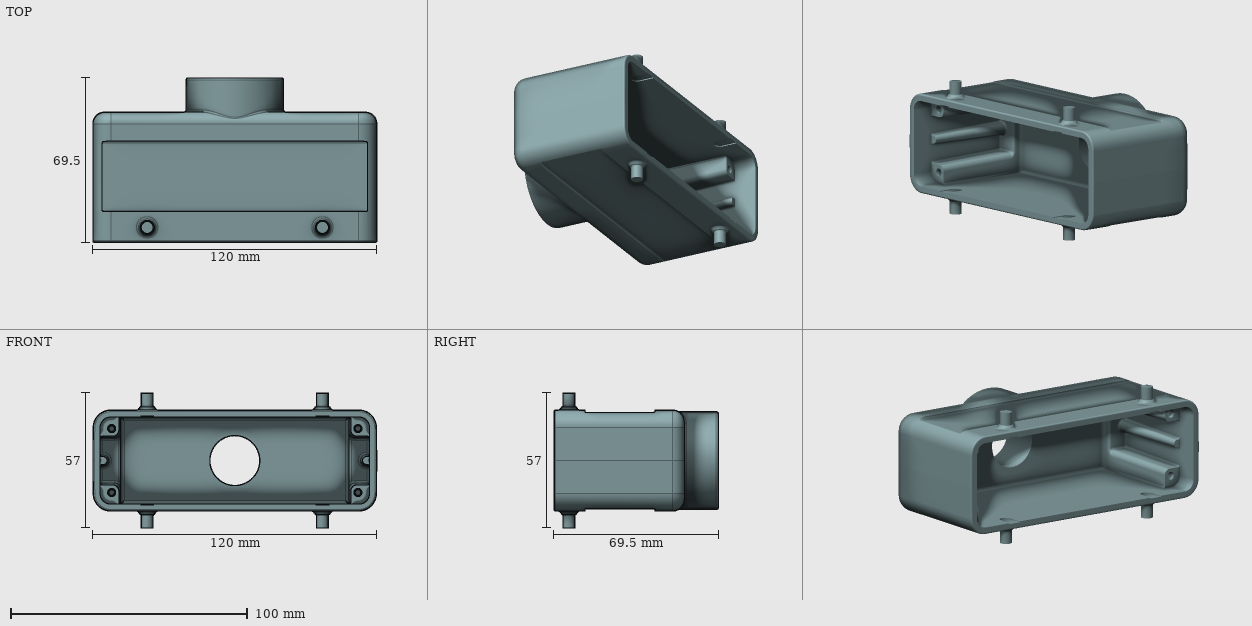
import cadquery as cq
import math

LENGTH = 120.0
END_CROWN = 0.25
HEIGHT = 42.7
DEPTH = 55.0
CORNER_RADIUS = 7.5
BACK_RADIUS = 5.0
RIM_RADIUS = 0.7

TOTAL_DEPTH = 69.5
NECK_DIAMETER = 41.3
NECK_LIP_RADIUS = 1.0
NECK_ROOT_RADIUS = 1.0
BORE_DIAMETER = 21.0

BACK_WALL = 3.0
CAVITY_LENGTH = 113.8
CAVITY_HEIGHT = 36.8
CAVITY_CORNER_RADIUS = 4.5
FLOOR_Y = DEPTH - BACK_WALL
FLOOR_RADIUS = 1.5
LEDGE_Y = 48.0
LEDGE_RADIUS = 1.0
ROOT_RADIUS = 0.9

POST_FRONT_Y = 9.7
POST_EDGE_X = 49.0
POST_EDGE_Z = 10.3
POST_CORNER_RADIUS = 2.5
DRAFT_ANGLE = 1.2
DRAFT_SLOPE = math.tan(math.radians(DRAFT_ANGLE))
STEP_X = POST_EDGE_X - (LEDGE_Y - POST_FRONT_Y) * DRAFT_SLOPE
SCREW_X = 52.0
SCREW_Z = 13.5
SCREW_MOUTH_DIAMETER = 3.4
SCREW_END_DIAMETER = 2.4
SCREW_DEPTH = 15.0
RIB_HALF_WIDTH = 1.7
RIB_TIP_X = 53.9

PIN_X = 37.0
PIN_Y = 6.3
PIN_SPAN = 57.0
PIN_DIAMETER = 5.1
COLLAR_FOOT_RADIUS = 4.5
COLLAR_FOOT_HEIGHT = 0.4
COLLAR_FOOT_RUN = 0.32
COLLAR_FOOT_RISE = 0.14
COLLAR_BASE_RADIUS = 3.7
COLLAR_TOP_RADIUS = 3.0
COLLAR_HEIGHT = 1.35
PIN_SLOT_WIDTH = 5.4
PIN_SLOT_DEPTH = 0.4

RECESS_FRONT_Y = 13.1
RECESS_BACK_Y = 42.7
RECESS_DEPTH = 0.95
RECESS_FRONT_RADIUS = 0.3
RECESS_BACK_RADIUS = 0.7

OVERLAP = 1.0
SIGNS = (1, -1)


def zx_plane(y):
    """Work plane at depth y with local x = X, local y = -Z and normal +Y."""
    return cq.Workplane(cq.Plane(origin=(0, y, 0), xDir=(1, 0, 0), normal=(0, 1, 0)))


def make_body():
    half_height = HEIGHT / 2
    peak_x = LENGTH / 2
    edge_x = peak_x - END_CROWN
    outline = [
        (peak_x, 0),
        (edge_x, half_height),
        (-edge_x, half_height),
        (-peak_x, 0),
        (-edge_x, -half_height),
        (edge_x, -half_height),
    ]
    body = zx_plane(0).polyline(outline).close().extrude(DEPTH)
    peaks = cq.selectors.BoxSelector((-peak_x, 0, -OVERLAP), (peak_x, DEPTH, OVERLAP))
    body = body.edges(cq.selectors.ParallelDirSelector(cq.Vector(0, 1, 0)) - peaks).fillet(CORNER_RADIUS)
    body = body.faces(">Y").edges().fillet(BACK_RADIUS)
    return body.faces("<Y").edges().fillet(RIM_RADIUS)


def add_neck(body):
    start_y = DEPTH - 2 * BACK_RADIUS
    neck = zx_plane(start_y).circle(NECK_DIAMETER / 2).extrude(TOTAL_DEPTH - start_y)
    joined = body.union(neck)
    reach = NECK_DIAMETER / 2 + OVERLAP
    root = cq.selectors.BoxSelector(
        (-reach, DEPTH - BACK_RADIUS, -reach), (reach, DEPTH + OVERLAP, reach), boundingbox=True
    )
    back = cq.selectors.BoxSelector(
        (-LENGTH, 0, -HEIGHT), (LENGTH, DEPTH - OVERLAP, HEIGHT), boundingbox=True
    )
    joined = joined.edges(root - back).fillet(NECK_ROOT_RADIUS)
    return joined.faces(">Y").edges().fillet(NECK_LIP_RADIUS)


def cut_label_recesses(part):
    outer_z = HEIGHT / 2
    floor_z = outer_z - RECESS_DEPTH
    cutter = (
        cq.Workplane("YZ")
        .moveTo(RECESS_FRONT_Y, outer_z + OVERLAP)
        .lineTo(RECESS_FRONT_Y, floor_z + RECESS_FRONT_RADIUS)
        .radiusArc((RECESS_FRONT_Y + RECESS_FRONT_RADIUS, floor_z), -RECESS_FRONT_RADIUS)
        .lineTo(RECESS_BACK_Y - RECESS_BACK_RADIUS, floor_z)
        .radiusArc((RECESS_BACK_Y, floor_z + RECESS_BACK_RADIUS), -RECESS_BACK_RADIUS)
        .lineTo(RECESS_BACK_Y, outer_z + OVERLAP)
        .close()
        .extrude(LENGTH / 2, both=True)
    )
    return part.cut(cutter).cut(cutter.mirror("XY"))


def make_post(side_x, side_z):
    """Corner post that tapers towards the mouth and runs into the cavity walls."""
    rise = LEDGE_Y - POST_FRONT_Y + OVERLAP
    spread = rise * DRAFT_SLOPE
    width = LENGTH / 2 - POST_EDGE_X + 2 * spread
    height = HEIGHT / 2 - POST_EDGE_Z + 2 * spread
    return (
        cq.Workplane(cq.Plane(origin=(0, LEDGE_Y + OVERLAP, 0), xDir=(1, 0, 0), normal=(0, -1, 0)))
        .center(side_x * (POST_EDGE_X - spread + width / 2), side_z * (POST_EDGE_Z - spread + height / 2))
        .rect(width, height)
        .extrude(rise, taper=DRAFT_ANGLE)
        .edges(cq.selectors.NearestToPointSelector((side_x * POST_EDGE_X, LEDGE_Y / 2, side_z * POST_EDGE_Z)))
        .fillet(POST_CORNER_RADIUS)
    )


def make_rib(side_x):
    """Round-nosed guide rib on an end wall, tapering towards the mouth."""
    rise = LEDGE_Y - POST_FRONT_Y + OVERLAP
    spread = rise * DRAFT_SLOPE
    radius = RIB_HALF_WIDTH + spread
    nose_x = RIB_TIP_X + RIB_HALF_WIDTH
    wall_x = LENGTH / 2 + spread
    return (
        cq.Workplane(cq.Plane(origin=(0, LEDGE_Y + OVERLAP, 0), xDir=(1, 0, 0), normal=(0, -1, 0)))
        .moveTo(side_x * wall_x, -radius)
        .lineTo(side_x * nose_x, -radius)
        .threePointArc((side_x * (nose_x - radius), 0), (side_x * nose_x, radius))
        .lineTo(side_x * wall_x, radius)
        .close()
        .extrude(rise, taper=DRAFT_ANGLE)
    )


def round_roots(pockets):
    """Round the long edges where the posts and ribs meet the cavity walls."""
    half_length = CAVITY_LENGTH / 2
    half_height = CAVITY_HEIGHT / 2
    roots = []
    for side_x in SIGNS:
        for side_z in SIGNS:
            roots += [
                (side_x * half_length, side_z * RIB_HALF_WIDTH),
                (side_x * half_length, side_z * POST_EDGE_Z),
                (side_x * POST_EDGE_X, side_z * half_height),
            ]
    for x, z in roots:
        root_edge = cq.selectors.NearestToPointSelector((x, (POST_FRONT_Y + LEDGE_Y) / 2, z))
        pockets = pockets.edges(root_edge).fillet(ROOT_RADIUS)
    return pockets


def make_cavity():
    """The hollow of the hood as a solid, for cutting from the body."""
    pockets = (
        zx_plane(-OVERLAP)
        .rect(CAVITY_LENGTH, CAVITY_HEIGHT)
        .extrude(LEDGE_Y + OVERLAP)
        .edges("|Y")
        .fillet(CAVITY_CORNER_RADIUS)
    )
    for side_x in SIGNS:
        pockets = pockets.cut(make_rib(side_x))
        for side_z in SIGNS:
            pockets = pockets.cut(make_post(side_x, side_z))
    pockets = round_roots(pockets)
    pockets = pockets.faces(">Y").edges().fillet(LEDGE_RADIUS)
    middle = (
        zx_plane(-OVERLAP)
        .rect(2 * STEP_X, CAVITY_HEIGHT)
        .extrude(FLOOR_Y + OVERLAP)
        .faces(">Y")
        .edges()
        .fillet(FLOOR_RADIUS)
    )
    cavity = pockets.union(middle)
    for side_x in SIGNS:
        step_edge = cq.selectors.NearestToPointSelector((side_x * STEP_X, LEDGE_Y, 0))
        cavity = cavity.edges(step_edge).fillet(LEDGE_RADIUS)
    return cavity


def cut_screw_holes(part):
    taper = math.degrees(math.atan2(SCREW_MOUTH_DIAMETER - SCREW_END_DIAMETER, 2 * SCREW_DEPTH))
    hole = zx_plane(POST_FRONT_Y).circle(SCREW_MOUTH_DIAMETER / 2).extrude(SCREW_DEPTH, taper=taper)
    for side_x in SIGNS:
        for side_z in SIGNS:
            part = part.cut(hole.translate((side_x * SCREW_X, 0, side_z * SCREW_Z)))
    return part


def make_pin():
    """Pin with its collar, standing on the +Z side."""
    root_z = HEIGHT / 2 - OVERLAP
    seat_z = HEIGHT / 2
    pin_r = PIN_DIAMETER / 2
    neck_r = COLLAR_TOP_RADIUS - pin_r
    profile = (
        cq.Workplane("XZ")
        .moveTo(0, root_z)
        .lineTo(COLLAR_FOOT_RADIUS, root_z)
        .lineTo(COLLAR_FOOT_RADIUS, seat_z)
        .threePointArc(
            (COLLAR_BASE_RADIUS + COLLAR_FOOT_RUN, seat_z + COLLAR_FOOT_RISE),
            (COLLAR_BASE_RADIUS, seat_z + COLLAR_FOOT_HEIGHT),
        )
        .lineTo(COLLAR_TOP_RADIUS, seat_z + COLLAR_HEIGHT)
        .radiusArc((pin_r, seat_z + COLLAR_HEIGHT + neck_r), neck_r)
        .lineTo(pin_r, PIN_SPAN / 2)
        .lineTo(0, PIN_SPAN / 2)
        .close()
    )
    return profile.revolve(360, (0, 0, 0), (0, 1, 0))


def make_pin_slot():
    """Round-ended shallow slot inside the wall behind a pin, open at the mouth."""
    half_width = PIN_SLOT_WIDTH / 2
    return (
        cq.Workplane("XY", origin=(0, 0, CAVITY_HEIGHT / 2 - OVERLAP))
        .moveTo(-half_width, -OVERLAP)
        .lineTo(-half_width, PIN_Y)
        .threePointArc((0, PIN_Y + half_width), (half_width, PIN_Y))
        .lineTo(half_width, -OVERLAP)
        .close()
        .extrude(OVERLAP + PIN_SLOT_DEPTH)
    )


def add_pins(part):
    pin = make_pin()
    slot = make_pin_slot()
    for side_x in SIGNS:
        placed_pin = pin.translate((side_x * PIN_X, PIN_Y, 0))
        placed_slot = slot.translate((side_x * PIN_X, 0, 0))
        part = part.union(placed_pin).union(placed_pin.mirror("XY"))
        part = part.cut(placed_slot).cut(placed_slot.mirror("XY"))
    return part


def cut_bore(part):
    bore = zx_plane(0).circle(BORE_DIAMETER / 2).extrude(TOTAL_DEPTH + OVERLAP)
    return part.cut(bore)


hood = add_neck(make_body())
hood = cut_label_recesses(hood)
hood = hood.cut(make_cavity())
hood = cut_screw_holes(hood)
hood = cut_bore(hood)
result = add_pins(hood)